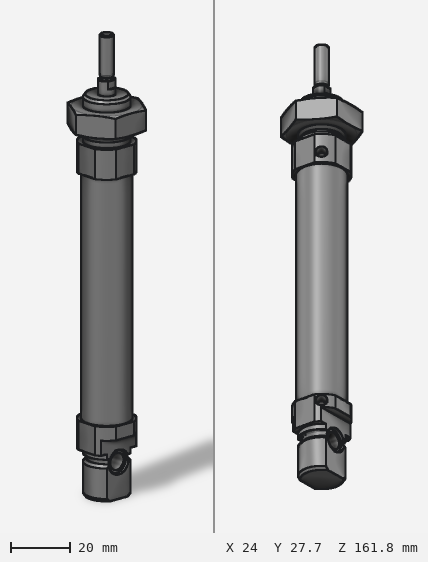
import cadquery as cq
import math


TOTAL_LENGTH = 161.8

BARREL_DIA = 17.3
THREAD_DIA = 16.0
NECK_DIA = 13.8
FRONT_NECK_LENGTH = 1.5
REAR_NECK_LENGTH = 2.0
NECK_FILLET = 0.3
END_CHAMFER_RADIAL = 0.8
END_CHAMFER_HEIGHT = 1.1

CAP_DIA = 19.9
CAP_FLATS = 18.1

REAR_COLLAR_BOTTOM = 14.9
REAR_CAP_BOTTOM = 16.8
REAR_CAP_TOP = 27.0
FRONT_CAP_BOTTOM = 113.7
FRONT_CAP_TOP = 124.3
FRONT_COLLAR_TOP = 126.2
HOUSING_TOP = 140.8

TONGUE_WIDTH = 12.0
TONGUE_TOP = 22.2
PIVOT_DIA = 6.0
PIVOT_SINK_DIA = 8.7
PIVOT_SINK_FLOOR_DIA = 8.0
PIVOT_SINK_DEPTH = 1.0
PIVOT_HEIGHT = 13.0

PORT_DIA = 3.9
PORT_DEPTH = 4.9
PORT_ANGLE = 128.0
PORT_FROM_CAP_BOTTOM = 3.9
PORT_FROM_CAP_TOP = 2.3

NUT_FLATS = 24.0
NUT_HEIGHT = 8.0
NUT_BOTTOM = 128.8
NUT_FACE_DIA = 23.6
NUT_CHAMFER_HEIGHT = 0.5

ROD_DIA = 6.0
ROD_FLATS = 5.0
ROD_FLATS_BOTTOM = 143.2
ROD_SHOULDER = 146.0
ROD_NECK_DIA = 3.9
ROD_THREAD_END_DIA = 4.5
ROD_NECK_TOP = 146.9
ROD_THREAD_DIA = 4.9
ROD_THREAD_BOTTOM = 147.9
ROD_TIP_DIA = 3.9
ROD_TIP_HEIGHT = 0.5


def cylinder(diameter, bottom, top):
    return cq.Workplane("XY").workplane(offset=bottom).circle(diameter / 2).extrude(top - bottom)


def box_between(width_x, width_y, bottom, top):
    return cq.Workplane("XY").workplane(offset=bottom).rect(width_x, width_y).extrude(top - bottom)


def threaded_end(length, neck_length):
    """Undercut neck and thread, rising from a collar face at Z = 0, chamfered at the far end."""
    thread_radius = THREAD_DIA / 2
    neck_radius = NECK_DIA / 2
    run_out = thread_radius - neck_radius
    fillet_mid = NECK_FILLET * (1 - math.sqrt(0.5))
    return (
        cq.Workplane("XZ")
        .lineTo(neck_radius + NECK_FILLET, 0)
        .threePointArc((neck_radius + fillet_mid, fillet_mid), (neck_radius, NECK_FILLET))
        .lineTo(neck_radius, neck_length)
        .lineTo(thread_radius, neck_length + run_out)
        .lineTo(thread_radius, length - END_CHAMFER_HEIGHT)
        .lineTo(thread_radius - END_CHAMFER_RADIAL, length)
        .lineTo(0, length)
        .close()
        .revolve(360, (0, 0, 0), (0, 1, 0))
    )


def end_cap(bottom, top):
    flats = box_between(CAP_FLATS, CAP_FLATS, bottom, top)
    return cylinder(CAP_DIA, bottom, top).intersect(flats)


def air_port(height):
    """Radial drill body, reaching from outside the cap to the port bottom."""
    angle = math.radians(PORT_ANGLE)
    outward = cq.Vector(math.cos(angle), math.sin(angle), 0)
    start = outward * CAP_DIA + cq.Vector(0, 0, height)
    length = CAP_DIA / 2 + PORT_DEPTH
    return cq.Workplane(cq.Solid.makeCylinder(PORT_DIA / 2, length, start, outward * -1))


def pivot_hole():
    """Cross hole along X with a shallow tapered sink at both sides of the tongue."""
    half_width = TONGUE_WIDTH / 2
    hole_radius = PIVOT_DIA / 2
    mouth_radius = PIVOT_SINK_DIA / 2
    floor_radius = PIVOT_SINK_FLOOR_DIA / 2
    floor_x = half_width - PIVOT_SINK_DEPTH
    return (
        cq.Workplane("XY")
        .polyline([
            (-half_width, 0),
            (-half_width, mouth_radius),
            (-floor_x, floor_radius),
            (-floor_x, hole_radius),
            (floor_x, hole_radius),
            (floor_x, floor_radius),
            (half_width, mouth_radius),
            (half_width, 0),
        ])
        .close()
        .revolve(360, (0, 0, 0), (1, 0, 0))
        .translate((0, 0, PIVOT_HEIGHT))
    )


def make_housing():
    barrel = cylinder(BARREL_DIA, REAR_CAP_TOP, FRONT_CAP_BOTTOM)
    front_thread = threaded_end(HOUSING_TOP - FRONT_COLLAR_TOP, FRONT_NECK_LENGTH)
    front = (
        end_cap(FRONT_CAP_BOTTOM, FRONT_CAP_TOP)
        .union(cylinder(THREAD_DIA, FRONT_CAP_TOP, FRONT_COLLAR_TOP))
        .union(front_thread.translate((0, 0, FRONT_COLLAR_TOP)))
    )
    rear_end = (
        threaded_end(REAR_COLLAR_BOTTOM, REAR_NECK_LENGTH)
        .rotate((0, 0, 0), (1, 0, 0), 180)
        .translate((0, 0, REAR_COLLAR_BOTTOM))
    )
    rear = (
        end_cap(REAR_CAP_BOTTOM, REAR_CAP_TOP)
        .union(cylinder(THREAD_DIA, REAR_COLLAR_BOTTOM, REAR_CAP_BOTTOM))
        .union(rear_end)
    )
    tongue_envelope = box_between(TONGUE_WIDTH, CAP_DIA, 0, TONGUE_TOP).union(
        box_between(CAP_DIA, CAP_DIA, TONGUE_TOP, REAR_CAP_TOP)
    )
    rear = rear.intersect(tongue_envelope).cut(pivot_hole())

    housing = barrel.union(front).union(rear)
    for port_height in (REAR_CAP_TOP - PORT_FROM_CAP_TOP, FRONT_CAP_BOTTOM + PORT_FROM_CAP_BOTTOM):
        housing = housing.cut(air_port(port_height))
    return housing


def make_nut():
    corner_dia = NUT_FLATS / math.cos(math.pi / 6)
    corner_radius = corner_dia / 2
    face_radius = NUT_FACE_DIA / 2
    hexagon = (
        cq.Workplane("XY")
        .polygon(6, corner_dia)
        .circle(THREAD_DIA / 2)
        .extrude(NUT_HEIGHT)
        .rotate((0, 0, 0), (0, 0, 1), 90)
    )
    chamfer_envelope = (
        cq.Workplane("XZ")
        .polyline([
            (0, 0),
            (face_radius, 0),
            (corner_radius, NUT_CHAMFER_HEIGHT),
            (corner_radius, NUT_HEIGHT - NUT_CHAMFER_HEIGHT),
            (face_radius, NUT_HEIGHT),
            (0, NUT_HEIGHT),
        ])
        .close()
        .revolve(360, (0, 0, 0), (0, 1, 0))
    )
    return hexagon.intersect(chamfer_envelope).translate((0, 0, NUT_BOTTOM))


def make_rod():
    rod_radius = ROD_DIA / 2
    neck_radius = ROD_NECK_DIA / 2
    thread_radius = ROD_THREAD_DIA / 2
    rod = (
        cq.Workplane("XZ")
        .polyline([
            (0, HOUSING_TOP),
            (rod_radius, HOUSING_TOP),
            (rod_radius, ROD_SHOULDER),
            (neck_radius, ROD_SHOULDER),
            (neck_radius, ROD_NECK_TOP),
            (ROD_THREAD_END_DIA / 2, ROD_NECK_TOP),
            (thread_radius, ROD_THREAD_BOTTOM),
            (thread_radius, TOTAL_LENGTH - ROD_TIP_HEIGHT),
            (ROD_TIP_DIA / 2, TOTAL_LENGTH),
            (0, TOTAL_LENGTH),
        ])
        .close()
        .revolve(360, (0, 0, 0), (0, 1, 0))
    )
    flats_envelope = box_between(ROD_DIA, ROD_DIA, HOUSING_TOP, ROD_FLATS_BOTTOM).union(
        box_between(ROD_FLATS, ROD_DIA, ROD_FLATS_BOTTOM, TOTAL_LENGTH)
    )
    return rod.intersect(flats_envelope)


housing = make_housing().solids()
nut = make_nut().solids()
rod = make_rod().solids()

result = cq.Compound.makeCompound([housing.val(), nut.val(), rod.val()])